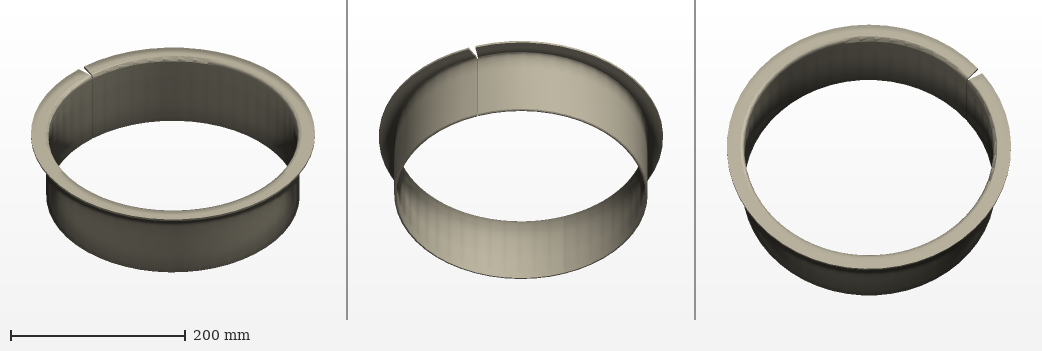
import cadquery as cq
import math

height = 90.0
sheet_thickness = 2.5
flange_radius = 162.5
wall_outer_radius = 145.0
bend_outer_radius = 2.0
rim_chamfer = 1.0
slit_width = 1.0
notch_half_angle = 10.0

wall_inner_radius = wall_outer_radius - sheet_thickness
bend_inner_radius = bend_outer_radius + sheet_thickness
bend_center_radius = wall_outer_radius + bend_outer_radius
flange_underside = height - sheet_thickness
bend_center_height = flange_underside - bend_outer_radius
notch_apex_radius = wall_inner_radius


def bend_point(radius):
    """Middle point of the quarter-circle bend with the given radius."""
    offset = radius * math.sqrt(0.5)
    return (bend_center_radius - offset, bend_center_height + offset)


def flanged_ring():
    """Revolve the chamfered wall, bend and flange section about Z."""
    section = (
        cq.Workplane("XZ")
        .moveTo(wall_inner_radius, 0)
        .lineTo(wall_outer_radius - rim_chamfer, 0)
        .lineTo(wall_outer_radius, rim_chamfer)
        .lineTo(wall_outer_radius, bend_center_height)
        .threePointArc(bend_point(bend_outer_radius), (bend_center_radius, flange_underside))
        .lineTo(flange_radius, flange_underside)
        .lineTo(flange_radius, height)
        .lineTo(bend_center_radius, height)
        .threePointArc(bend_point(bend_inner_radius), (wall_inner_radius, bend_center_height))
        .close()
    )
    return section.revolve(360, (0, 0, 0), (0, 1, 0))


def wall_slit():
    """Narrow full-height cut through the ring on the -X side."""
    return (
        cq.Workplane("XY")
        .center(-flange_radius / 2, 0)
        .rect(flange_radius, slit_width)
        .extrude(height)
    )


def flange_notch():
    """Wedge that widens the split outward across the bend and flange."""
    slit_half_width = slit_width / 2
    flare = (flange_radius - notch_apex_radius) * math.tan(math.radians(notch_half_angle))
    outer_half_width = slit_half_width + flare
    return (
        cq.Workplane("XY")
        .workplane(offset=bend_center_height)
        .moveTo(-notch_apex_radius, slit_half_width)
        .lineTo(-flange_radius, outer_half_width)
        .lineTo(-flange_radius, -outer_half_width)
        .lineTo(-notch_apex_radius, -slit_half_width)
        .close()
        .extrude(height - bend_center_height)
    )


result = flanged_ring().cut(wall_slit()).cut(flange_notch())